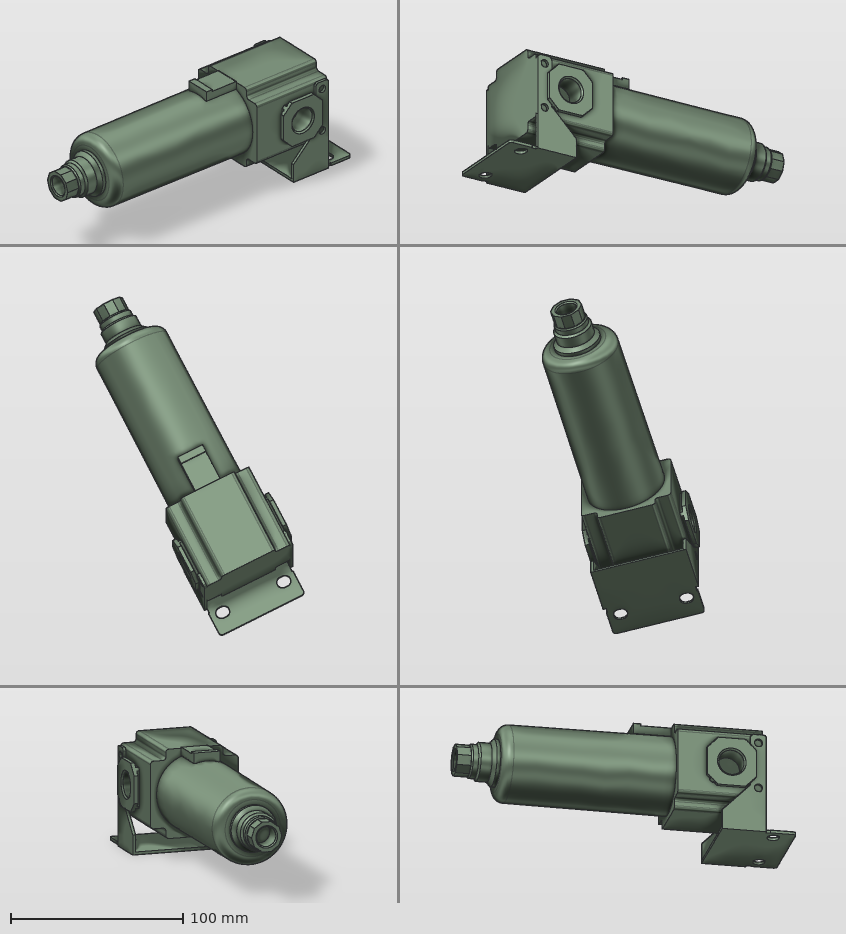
import cadquery as cq


head_half_width = 27.0
head_half_height = 26.5
head_length = 52.2
rib_half_width = 17.5
shelf_height = 20.0
head_fillet = 2.0

tip_depth = 179.0
bowl_start_radius = 23.2
bowl_end_radius = 22.9
bowl_end_depth = 154.5
bowl_end_fillet = 6.0
collar_radius = 14.0
collar_end_depth = 156.6
neck_radius = 11.5
neck_start_depth = 159.0
neck_end_depth = 165.5
ring_radius = 10.0
ring_start_depth = 166.7
ring_end_depth = 169.8
nut_start_depth = 170.8
nut_side_count = 10
nut_corner_diameter = 18.7
nut_corner_radius = nut_corner_diameter / 2
drain_bore_radius = 6.0
drain_bore_depth = 11.8
bore_chamfer = 0.8
chamfer_angle = 45

latch_half_width = 8.0
latch_end_depth = 74.5
latch_bottom = 22.0
latch_top = 27.2
latch_lip_top = 28.4
latch_lip_start_depth = 70.1

port_span = 62.5
port_face_x = port_span / 2
port_depth = 21.0
port_half_size = 14.5
port_corner_cut = 6.3
port_foot_inset = 2.4
port_bore_radius = 7.5
port_bore_length = 13.8
port_chamfer = 1.0

sheet = 1.8
bracket_bottom = -41.0
bracket_half_width = head_half_width + sheet
ear_top = 19.1
ear_depth = 9.5
ear_fillet = 2.0
foot_depth = 26.2
foot_edge_top = -29.0
ear_hole_depth = 4.7
ear_hole_height = 14.0
ear_hole_diameter = 4.7
flange_half_width = 27.5
flange_length = 18.0
flange_fillet = 2.0
relief_length = 2.8
slot_x = 19.9
slot_y = 6.0
slot_length = 8.3
slot_width = 6.7


def box(half_width, back_depth, front_depth, bottom, top):
    """Block centred on X = 0 between two depths and two heights."""
    size_y = front_depth - back_depth
    block = cq.Workplane("XY").box(2 * half_width, size_y, top - bottom, centered=(True, True, False))
    return block.translate((0, -(back_depth + front_depth) / 2, bottom))


def make_head():
    shelves = box(head_half_width, 0, head_length, -shelf_height, shelf_height)
    rib = box(rib_half_width, 0, head_length, -head_half_height, head_half_height)
    return shelves.union(rib).edges("|Y").fillet(head_fillet)


def make_bowl():
    """Tapered bowl and stepped drain neck, turned about the Y axis."""
    profile = (
        cq.Workplane("XY")
        .moveTo(0, -head_length)
        .lineTo(bowl_start_radius, -head_length)
        .lineTo(bowl_end_radius, bowl_end_fillet - bowl_end_depth)
        .radiusArc((bowl_end_radius - bowl_end_fillet, -bowl_end_depth), bowl_end_fillet)
        .lineTo(collar_radius, -bowl_end_depth)
        .lineTo(collar_radius, -collar_end_depth)
        .lineTo(neck_radius, -neck_start_depth)
        .lineTo(neck_radius, -neck_end_depth)
        .lineTo(ring_radius, -ring_start_depth)
        .lineTo(ring_radius, -ring_end_depth)
        .lineTo(nut_corner_radius, -nut_start_depth)
        .lineTo(0, -nut_start_depth)
        .close()
    )
    return profile.revolve(360, (0, 0, 0), (0, 1, 0))


def make_drain_nut():
    return (
        cq.Workplane("XZ", origin=(0, -nut_start_depth, 0))
        .polygon(nut_side_count, nut_corner_diameter)
        .extrude(tip_depth - nut_start_depth)
    )


def make_drain_bore():
    plane = cq.Workplane("XZ", origin=(0, -tip_depth, 0))
    bore = plane.circle(drain_bore_radius).extrude(-drain_bore_depth)
    mouth = plane.circle(drain_bore_radius + bore_chamfer).extrude(-bore_chamfer, taper=chamfer_angle)
    return bore.union(mouth)


def make_latch():
    tab = box(latch_half_width, head_length, latch_end_depth, latch_bottom, latch_top)
    lip = box(latch_half_width, latch_lip_start_depth, latch_end_depth, latch_bottom, latch_lip_top)
    return tab.union(lip)


def make_port():
    """Port boss on the +X side: square rim over a smaller foot, both cut by the same corner planes."""
    face = cq.Workplane("YZ", origin=(head_half_width, -port_depth, 0))
    foot_side = 2 * (port_half_size - port_foot_inset)
    rim_side = 2 * port_half_size
    height = port_face_x - head_half_width
    foot = face.rect(foot_side, foot_side).extrude(height)
    rim = face.workplane(offset=sheet).rect(rim_side, rim_side).extrude(height - sheet)
    corner_reach = rim_side - port_corner_cut
    trim = face.polygon(4, 2 * corner_reach).extrude(height)
    return foot.union(rim).intersect(trim)


def make_port_bore():
    face = cq.Workplane("YZ", origin=(port_face_x, -port_depth, 0))
    bore = face.circle(port_bore_radius).extrude(-port_bore_length)
    mouth = face.circle(port_bore_radius + port_chamfer).extrude(-port_chamfer, taper=chamfer_angle)
    return bore.union(mouth)


def make_bracket_side():
    """Upright sheet on the +X side with a narrow ear and a 45 degree lower edge."""
    slope_drop = foot_depth - ear_depth
    outline = [
        (0, bracket_bottom),
        (0, ear_top),
        (-ear_depth, ear_top),
        (-ear_depth, foot_edge_top + slope_drop),
        (-foot_depth, foot_edge_top),
        (-foot_depth, bracket_bottom),
    ]
    side_plane = cq.Workplane("YZ", origin=(head_half_width, 0, 0))
    side = side_plane.polyline(outline).close().extrude(sheet)
    side = side.edges("|X and >Z").fillet(ear_fillet)
    hole_places = [(-ear_hole_depth, ear_hole_height), (-ear_hole_depth, -ear_hole_height)]
    holes = side_plane.pushPoints(hole_places).circle(ear_hole_diameter / 2).extrude(sheet)
    return side.cut(holes)


def make_bracket_base():
    """Bottom sheet joining the sides, with a slotted flange behind the head."""
    base_top = bracket_bottom + sheet
    floor = box(bracket_half_width, 0, foot_depth, bracket_bottom, base_top)
    waist = box(head_half_width, -relief_length, 0, bracket_bottom, base_top)
    flange = box(flange_half_width, -flange_length, -relief_length, bracket_bottom, base_top)
    flange = flange.edges("|Z and >Y").fillet(flange_fillet)
    slots = (
        cq.Workplane("XY", origin=(0, 0, bracket_bottom))
        .pushPoints([(-slot_x, slot_y), (slot_x, slot_y)])
        .slot2D(slot_length, slot_width)
        .extrude(sheet)
    )
    return floor.union(waist).union(flange).cut(slots)


def both_sides(shape):
    """The shape together with its mirror image across X = 0."""
    return shape.union(shape.mirror("YZ"))


body = make_head().union(make_bowl()).union(make_drain_nut()).union(make_latch())
bracket = make_bracket_base().union(both_sides(make_bracket_side()))
ports = both_sides(make_port())
result = body.union(bracket).union(ports).cut(both_sides(make_port_bore())).cut(make_drain_bore())